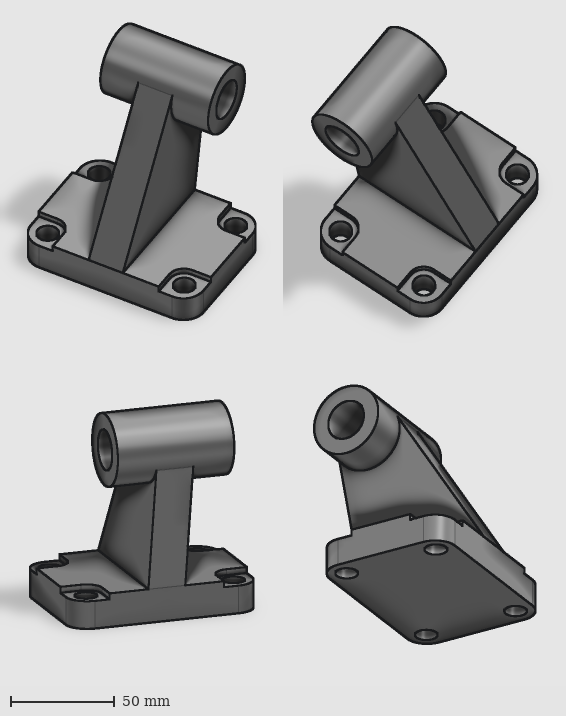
import cadquery as cq
import math

base_length = 96.0
base_width = 70.0
base_thickness = 17.0
corner_radius = 11.0

hole_diameter = 11.0
hole_inset = 10.0
recess_reach = 18.5
recess_radius = 8.0
recess_depth = 3.0

tube_diameter = 36.0
tube_bore = 20.0
tube_length = 60.0
tube_center_y = 65.0
tube_center_z = 88.0

rib_thickness = 19.0
rib_front_lean = 31.9
rib_rear_lean = 10.0

hole_x = base_length / 2 - hole_inset
hole_y = base_width / 2 - hole_inset
base_center_y = base_width / 2
tube_radius = tube_diameter / 2


def rib_contact(y, lean):
    """Point where an edge rising from (y, base top), leaning from the vertical, first meets the tube."""
    angle = math.radians(lean)
    to_center_y = tube_center_y - y
    to_center_z = tube_center_z - base_thickness
    along = to_center_y * math.sin(angle) + to_center_z * math.cos(angle)
    offset = to_center_y * math.cos(angle) - to_center_z * math.sin(angle)
    distance = along - math.sqrt(tube_radius**2 - offset**2)
    return (y + distance * math.sin(angle), base_thickness + distance * math.cos(angle))


def make_tube_cylinder(diameter):
    return (
        cq.Workplane("YZ")
        .center(tube_center_y, tube_center_z)
        .circle(diameter / 2)
        .extrude(tube_length / 2, both=True)
    )


def make_base():
    return (
        cq.Workplane("XY")
        .center(0, base_center_y)
        .rect(base_length, base_width)
        .extrude(base_thickness)
        .edges("|Z")
        .fillet(corner_radius)
    )


def make_corner_cut(side_x, side_y):
    """Mounting hole with a recess that opens to both sides of its corner."""
    x = side_x * hole_x
    y = base_center_y + side_y * hole_y
    recess = (
        cq.Workplane("XY", origin=(0, 0, base_thickness - recess_depth))
        .center(
            side_x * (base_length - recess_reach) / 2,
            base_center_y + side_y * (base_width - recess_reach) / 2,
        )
        .rect(recess_reach, recess_reach)
        .extrude(recess_depth)
        .edges("|Z")
        .edges(cq.selectors.NearestToPointSelector((0, base_center_y, base_thickness)))
        .fillet(recess_radius)
    )
    hole = cq.Workplane("XY").center(x, y).circle(hole_diameter / 2).extrude(base_thickness)
    return recess.union(hole)


def make_rib():
    """Web whose sloping edges rise from the front and rear base edges to the tube."""
    profile = [
        (0, base_thickness),
        rib_contact(0, rib_front_lean),
        (tube_center_y, tube_center_z),
        rib_contact(base_width, rib_rear_lean),
        (base_width, base_thickness),
    ]
    return cq.Workplane("YZ").polyline(profile).close().extrude(rib_thickness / 2, both=True)


result = make_base()
for side_x in (-1, 1):
    for side_y in (-1, 1):
        result = result.cut(make_corner_cut(side_x, side_y))
result = result.union(make_rib())
result = result.union(make_tube_cylinder(tube_diameter))
result = result.cut(make_tube_cylinder(tube_bore))